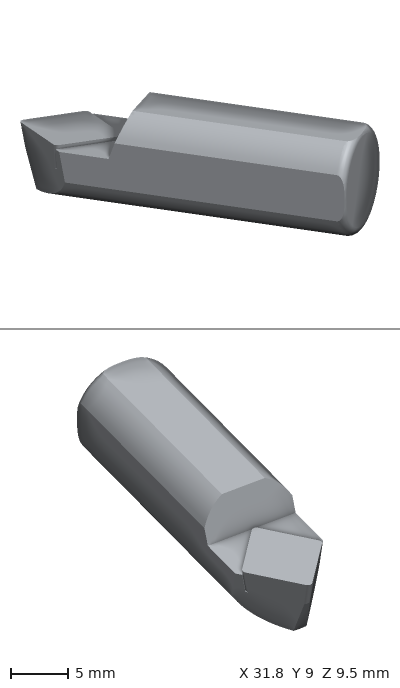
import cadquery as cq
import math

overall_length = 31.78
bar_diameter = 10.0
flats_width = 9.0
rear_fillet = 0.8

bar_radius = bar_diameter / 2
flat_offset = flats_width / 2
ledge_z = 0.65

shoulder_x = 9.8
shoulder_angle = math.radians(20)

insert_top_z = 1.02
insert_thickness = 2.38
inscribed_diameter = 6.35
insert_corner_radius = 0.4
half_nose_angle = math.radians(40)
relief_angle = math.radians(7)

insert_bottom_z = insert_top_z - insert_thickness
insert_center_x = (
    inscribed_diameter / 2 / math.sin(half_nose_angle)
    - insert_corner_radius * (1 / math.sin(half_nose_angle) - 1)
)

nose_flat_bottom_x = 1.72
nose_flat_angle = math.radians(18)


def flank_distance(z):
    """Distance from the insert's vertical axis to a flank at height z."""
    return inscribed_diameter / 2 - (insert_top_z - z) * math.tan(relief_angle)


def diamond_points(z):
    """Sharp-cornered diamond enclosed by the insert flanks at height z."""
    half_length = flank_distance(z) / math.sin(half_nose_angle)
    half_width = flank_distance(z) / math.cos(half_nose_angle)
    return [
        (insert_center_x - half_length, 0),
        (insert_center_x, -half_width),
        (insert_center_x + half_length, 0),
        (insert_center_x, half_width),
    ]


def tapered_prism(bottom_z, top_z, points_at, corner_radius=0):
    """Straight-sided solid between the outlines at two heights."""
    sketches = []
    for z in (bottom_z, top_z):
        points = points_at(z)
        sketch = cq.Sketch().polygon(points + points[:1])
        if corner_radius > 0:
            sketch = sketch.vertices().fillet(corner_radius)
        sketches.append(sketch.moved(cq.Location(cq.Vector(0, 0, z))))
    return cq.Workplane("XY").placeSketch(*sketches).loft(ruled=True)


def make_shank():
    """Bar with a rounded rear end and three lengthwise flats."""
    bar = cq.Workplane("YZ").circle(bar_radius).extrude(overall_length)
    bar = bar.faces(">X").edges().fillet(rear_fillet)
    envelope = cq.Workplane("XY").box(
        overall_length, flats_width, bar_radius + flat_offset, centered=(False, True, False)
    ).translate((0, 0, -bar_radius))
    return bar.intersect(envelope)


def make_side_profile():
    """Side outline with the sloping nose flat, the ledge and the shoulder."""
    nose_flat_top_x = nose_flat_bottom_x - (ledge_z + bar_radius) * math.tan(nose_flat_angle)
    shoulder_top_x = shoulder_x + (flat_offset - ledge_z) * math.tan(shoulder_angle)
    outline = [
        (nose_flat_bottom_x, -bar_radius),
        (overall_length, -bar_radius),
        (overall_length, flat_offset),
        (shoulder_top_x, flat_offset),
        (shoulder_x, ledge_z),
        (nose_flat_top_x, ledge_z),
    ]
    return cq.Workplane("XZ").polyline(outline).close().extrude(bar_radius, both=True)


def wedge_points(z):
    """Triangle that continues the two front flanks past the sides of the bar."""
    apex_x = insert_center_x - flank_distance(z) / math.sin(half_nose_angle)
    reach = 2 * overall_length
    half_width = reach * math.tan(half_nose_angle)
    return [(apex_x, 0), (apex_x + reach, -half_width), (apex_x + reach, half_width)]


def make_holder():
    """Shank cut to a pointed nose, with a pocket for the insert."""
    nose_wedge = tapered_prism(-bar_radius, flat_offset, wedge_points)
    pocket = tapered_prism(insert_bottom_z, insert_top_z, diamond_points)
    return make_shank().intersect(make_side_profile()).intersect(nose_wedge).cut(pocket)


def make_insert():
    """Cutting insert with four rounded corners."""
    return tapered_prism(insert_bottom_z, insert_top_z, diamond_points, insert_corner_radius)


holder = make_holder()
insert = make_insert()

result = cq.Compound.makeCompound([holder.solids().val(), insert.solids().val()])